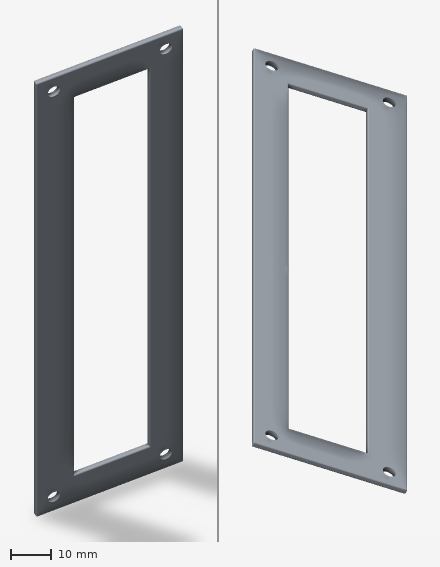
import cadquery as cq

thickness = 1.5
width = 41.0
height = 156.5

window_width = 21.1
window_height = 136.6
window_offset_y = 0.6

hole_diameter = 3.5
hole_spacing_y = 31.3
hole_spacing_z = 146.5

edge_radius = 0.3

plate = cq.Workplane("YZ").rect(width, height).extrude(thickness / 2, both=True)

window = (
    cq.Workplane("YZ")
    .center(window_offset_y, 0)
    .rect(window_width, window_height)
    .extrude(thickness, both=True)
)

holes = (
    cq.Workplane("YZ")
    .rect(hole_spacing_y, hole_spacing_z, forConstruction=True)
    .vertices()
    .circle(hole_diameter / 2)
    .extrude(thickness, both=True)
)

plate = plate.edges("|X").fillet(edge_radius)
frame = plate.cut(window)
frame = frame.faces("<X or >X").edges().fillet(edge_radius)

result = frame.cut(holes)